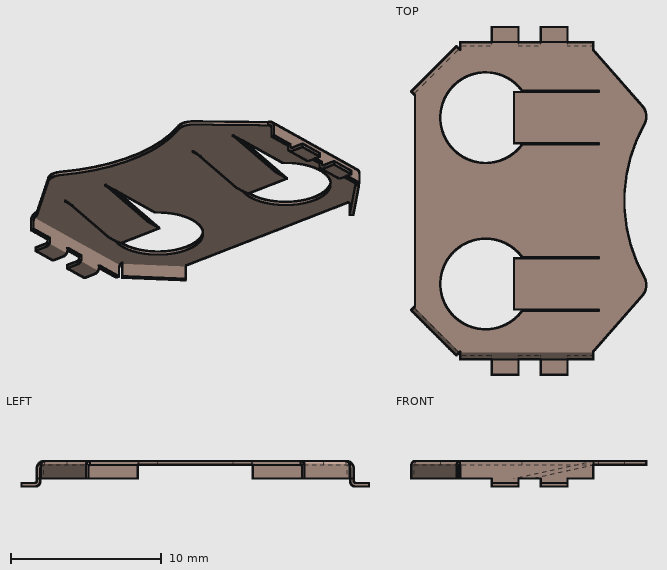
import cadquery as cq
import math

thickness = 0.25
overall_height = 1.7
overall_half_width = 11.55

corner_cut = 3.0
side_end_x = 11.85
side_y = 10.0
left_corner_y = side_y - corner_cut
nose_x = 15.62
nose_y = 5.7
nose_radius = 1.06
recess_x = 13.91

flange_depth = 1.18
side_bend_radius = 0.53
corner_bend_radius = 0.37

foot_width = 1.8
foot_starts_x = (5.08, 8.35)
foot_bend_radius = 0.37

opening_x = 4.7
opening_y = 5.52
opening_radius = 3.0
slot_half_width = 1.78
slot_end_x = 12.2
tongue_half_width = 1.7
tongue_root_x = 12.02
tongue_bend_radius = 0.88
tongue_angle = math.radians(12.4)

diagonal = math.sqrt(0.5)


def make_plate():
    """Flat blank with a concave right edge between two rounded noses."""
    plate = (
        cq.Workplane("XY")
        .moveTo(0, left_corner_y)
        .lineTo(corner_cut, side_y)
        .lineTo(side_end_x, side_y)
        .lineTo(nose_x, nose_y)
        .threePointArc((recess_x, 0), (nose_x, -nose_y))
        .lineTo(side_end_x, -side_y)
        .lineTo(corner_cut, -side_y)
        .lineTo(0, -left_corner_y)
        .close()
        .extrude(-thickness)
    )
    return plate.edges("|Z and >X").fillet(nose_radius)


def make_flange(plane, length, bend_radius):
    """Bent-down flange; plane X points outward from the bend line and plane Y points up."""
    inner_radius = bend_radius - thickness
    return (
        cq.Workplane(plane)
        .moveTo(0, 0)
        .threePointArc(
            (bend_radius * diagonal, bend_radius * (diagonal - 1)),
            (bend_radius, -bend_radius),
        )
        .lineTo(bend_radius, -flange_depth)
        .lineTo(inner_radius, -flange_depth)
        .lineTo(inner_radius, -bend_radius)
        .threePointArc(
            (inner_radius * diagonal, inner_radius * diagonal - bend_radius),
            (0, -thickness),
        )
        .close()
        .extrude(length)
    )


def make_foot(start_x):
    """Foot that continues the side flange downward and turns outward."""
    inner_y = side_y + side_bend_radius - thickness
    bend_y = inner_y + foot_bend_radius
    bend_z = foot_bend_radius - overall_height
    inside_radius = foot_bend_radius - thickness
    return (
        cq.Workplane("YZ", origin=(start_x, 0, 0))
        .moveTo(inner_y, -flange_depth)
        .lineTo(inner_y, bend_z)
        .threePointArc(
            (bend_y - foot_bend_radius * diagonal, bend_z - foot_bend_radius * diagonal),
            (bend_y, -overall_height),
        )
        .lineTo(overall_half_width, -overall_height)
        .lineTo(overall_half_width, thickness - overall_height)
        .lineTo(bend_y, thickness - overall_height)
        .threePointArc(
            (bend_y - inside_radius * diagonal, bend_z - inside_radius * diagonal),
            (bend_y - inside_radius, bend_z),
        )
        .lineTo(bend_y - inside_radius, -flange_depth)
        .close()
        .extrude(foot_width)
    )


def make_opening():
    """Round hole joined to the slot that frees the tongue."""
    hole = cq.Workplane("XY").center(opening_x, opening_y).circle(opening_radius).extrude(-thickness)
    slot_length = slot_end_x - opening_x
    slot = (
        cq.Workplane("XY")
        .center(opening_x + slot_length / 2, opening_y)
        .rect(slot_length, 2 * slot_half_width)
        .extrude(-thickness)
    )
    return hole.union(slot)


def make_tongue():
    """Spring tongue bent down from its root at the right end of the slot,
    with its tip cut level with the flange bottoms.
    """
    inner_radius = tongue_bend_radius - thickness

    def bend_point(radius, angle):
        return (
            tongue_root_x - radius * math.sin(angle),
            radius * math.cos(angle) - tongue_bend_radius,
        )

    bend_end = bend_point(tongue_bend_radius, tongue_angle)
    tip_top_x = bend_end[0] - (bend_end[1] + flange_depth) / math.tan(tongue_angle)
    tip_bottom_x = tip_top_x + thickness / math.sin(tongue_angle)
    return (
        cq.Workplane("XZ", origin=(0, opening_y + tongue_half_width, 0))
        .moveTo(slot_end_x, 0)
        .lineTo(tongue_root_x, 0)
        .threePointArc(bend_point(tongue_bend_radius, tongue_angle / 2), bend_end)
        .lineTo(tip_top_x, -flange_depth)
        .lineTo(tip_bottom_x, -flange_depth)
        .lineTo(*bend_point(inner_radius, tongue_angle))
        .threePointArc(bend_point(inner_radius, tongue_angle / 2), (tongue_root_x, -thickness))
        .lineTo(slot_end_x, -thickness)
        .close()
        .extrude(2 * tongue_half_width)
    )


def with_mirror(body):
    """Body together with its mirror image across the XZ plane."""
    return body.union(body.mirror("XZ"))


side_plane = cq.Plane(origin=(corner_cut, side_y, 0), xDir=(0, 1, 0), normal=(1, 0, 0))
side_flange = make_flange(side_plane, side_end_x - corner_cut, side_bend_radius)

corner_length = corner_cut / diagonal
corner_plane = cq.Plane(
    origin=(0, left_corner_y, 0),
    xDir=(-1, 1, 0),
    normal=(1, 1, 0),
)
corner_flange = make_flange(corner_plane, corner_length, corner_bend_radius)

result = make_plate().cut(with_mirror(make_opening()))
for feature in (side_flange, corner_flange, make_tongue()):
    result = result.union(with_mirror(feature))
for foot_start_x in foot_starts_x:
    result = result.union(with_mirror(make_foot(foot_start_x)))